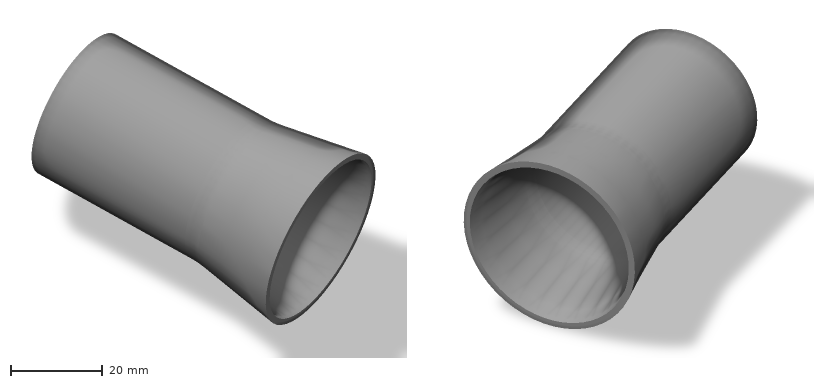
import cadquery as cq
import math

length = 65.0
tube_radius = 35.0 / 2
bore_radius = 32.0 / 2
flare_radius = 42.4 / 2
wall = tube_radius - bore_radius

bend_start = 40.9
bend_end = 44.7

bend_middle = (bend_start + bend_end) / 2
flare_angle = math.atan((flare_radius - tube_radius) / (length - bend_middle))
outer_bend_radius = (bend_end - bend_start) / math.sin(flare_angle)
inner_bend_radius = outer_bend_radius + wall
bend_center_height = tube_radius + outer_bend_radius

flare_bore_radius = flare_radius - wall / math.cos(flare_angle)


def bend_point(radius, angle):
    """Point on a bend of the given radius after turning through the given angle."""
    return (
        bend_start + radius * math.sin(angle),
        bend_center_height - radius * math.cos(angle),
    )


wall_section = (
    cq.Workplane("XZ")
    .moveTo(0, bore_radius)
    .lineTo(0, tube_radius)
    .lineTo(bend_start, tube_radius)
    .threePointArc(
        bend_point(outer_bend_radius, flare_angle / 2),
        bend_point(outer_bend_radius, flare_angle),
    )
    .lineTo(length, flare_radius)
    .lineTo(length, flare_bore_radius)
    .lineTo(*bend_point(inner_bend_radius, flare_angle))
    .threePointArc(
        bend_point(inner_bend_radius, flare_angle / 2),
        (bend_start, bore_radius),
    )
    .close()
)

result = wall_section.revolve(360, (0, 0, 0), (1, 0, 0))